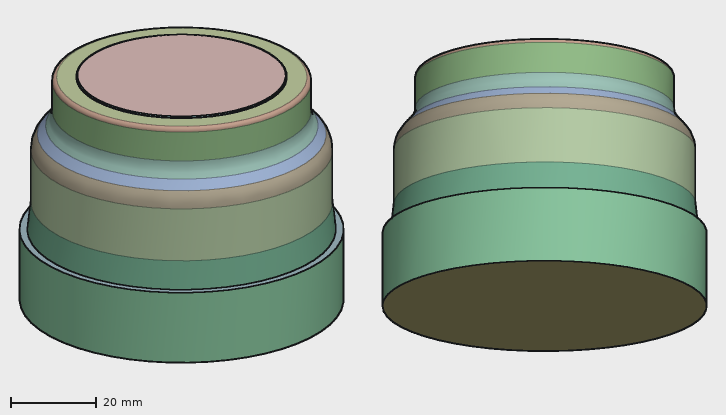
import cadquery as cq
import math

base_radius = 38.1
base_top = 17.9

skirt_radius = 36.3
body_radius = 70.95 / 2
body_bottom = 25.0
body_top = 38.25
neck_radius = 30.5
neck_top = 56.8
rim_fillet = 1.1

shoulder_arc_radius = 5.95
shoulder_angle = math.radians(42)

pad_radius = 24.8
pad_top = 57.15
pad_chamfer = 0.3


def arc_offsets(angle):
    """Inward and upward travel along a shoulder arc that starts vertical."""
    inward = shoulder_arc_radius * (1 - math.cos(angle))
    upward = shoulder_arc_radius * math.sin(angle)
    return inward, upward


def make_base():
    return cq.Workplane("XY").circle(base_radius).extrude(base_top)


def make_dome():
    arc_inward, arc_upward = arc_offsets(shoulder_angle)
    mid_inward, mid_upward = arc_offsets(shoulder_angle / 2)
    slope_inward = body_radius - neck_radius - 2 * arc_inward
    slope_upward = slope_inward / math.tan(shoulder_angle)
    neck_bottom = body_top + 2 * arc_upward + slope_upward

    profile = (
        cq.Workplane("XZ")
        .moveTo(0, base_top)
        .lineTo(skirt_radius, base_top)
        .lineTo(body_radius, body_bottom)
        .lineTo(body_radius, body_top)
        .threePointArc(
            (body_radius - mid_inward, body_top + mid_upward),
            (body_radius - arc_inward, body_top + arc_upward),
        )
        .lineTo(neck_radius + arc_inward, neck_bottom - arc_upward)
        .threePointArc(
            (neck_radius + mid_inward, neck_bottom - mid_upward),
            (neck_radius, neck_bottom),
        )
        .lineTo(neck_radius, neck_top)
        .lineTo(0, neck_top)
        .close()
    )
    turned_body = profile.revolve(360, (0, 0, 0), (0, 1, 0)).faces(">Z").edges().fillet(rim_fillet)
    pad = (
        cq.Workplane("XY", origin=(0, 0, neck_top))
        .circle(pad_radius)
        .extrude(pad_top - neck_top)
        .faces(">Z")
        .edges()
        .chamfer(pad_chamfer)
    )
    return turned_body.union(pad)


base = make_base()
dome = make_dome()

result = cq.Compound.makeCompound([base.val(), dome.solids().val()])